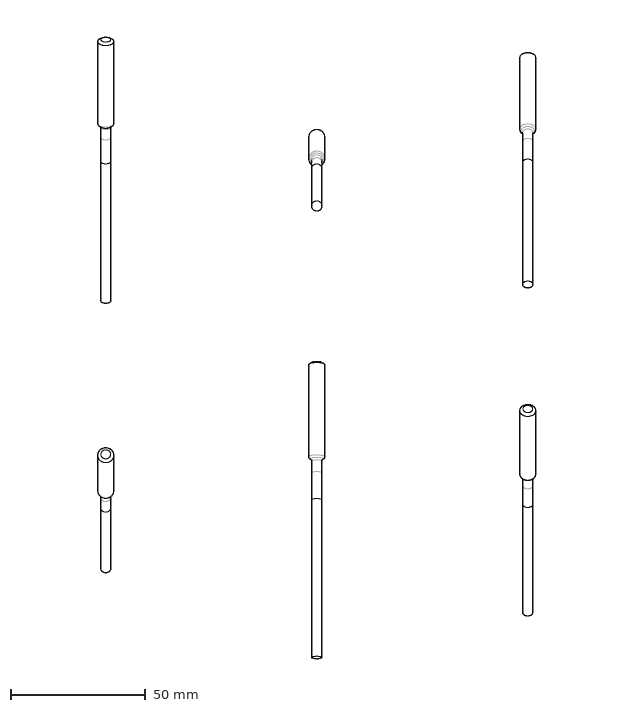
import cadquery as cq
import math

total_length = 113.0
shank_diameter = 6.0
neck_diameter = 3.8

shank_bottom = 77.1
top_flat_diameter = 3.6
top_chamfer_height = 0.8
shoulder_height = 1.6

taper_top = 71.0
taper_growth = 0.05
cutter_top = 60.7
point_height = 0.7

shank_radius = shank_diameter / 2
neck_radius = neck_diameter / 2
cutter_radius = (neck_diameter + taper_growth) / 2
top_flat_radius = top_flat_diameter / 2
shoulder_bottom = shank_bottom - shoulder_height

arc_width = (shank_radius - neck_radius) / 2
arc_height = shoulder_height / 2
arc_angle = 2 * math.atan(arc_width / arc_height)
arc_radius = arc_height / math.sin(arc_angle)
mid_arc_inset = arc_radius * (1 - math.cos(arc_angle / 2))
mid_arc_rise = arc_radius * math.sin(arc_angle / 2)


def revolve_about_z(profile):
    """Close a radius-height profile and turn it about the Z axis."""
    return profile.close().revolve(360, (0, 0, 0), (0, 1, 0))


def make_holder():
    """Shank with a chamfered top, a smooth shoulder and a slightly tapered neck."""
    neck_arc_middle = (neck_radius + mid_arc_inset, shoulder_bottom + mid_arc_rise)
    arcs_meet = (neck_radius + arc_width, shoulder_bottom + arc_height)
    shank_arc_middle = (shank_radius - mid_arc_inset, shank_bottom - mid_arc_rise)
    profile = (
        cq.Workplane("XZ")
        .moveTo(0, cutter_top)
        .lineTo(cutter_radius, cutter_top)
        .lineTo(neck_radius, taper_top)
        .lineTo(neck_radius, shoulder_bottom)
        .threePointArc(neck_arc_middle, arcs_meet)
        .threePointArc(shank_arc_middle, (shank_radius, shank_bottom))
        .lineTo(shank_radius, total_length - top_chamfer_height)
        .lineTo(top_flat_radius, total_length)
        .lineTo(0, total_length)
    )
    return revolve_about_z(profile)


def make_cutter():
    """Round cutter with a shallow conical point."""
    profile = (
        cq.Workplane("XZ")
        .lineTo(cutter_radius, point_height)
        .lineTo(cutter_radius, cutter_top)
        .lineTo(0, cutter_top)
    )
    return revolve_about_z(profile)


holder = make_holder()
cutter = make_cutter()

result = cq.Compound.makeCompound([holder.val(), cutter.val()])